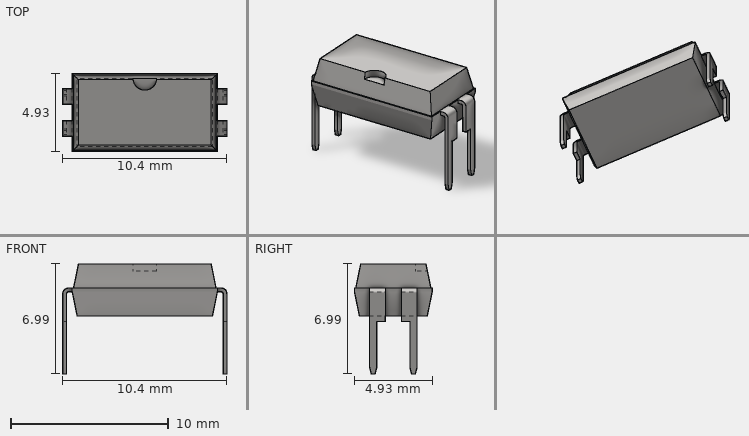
import cadquery as cq

overall_length = 10.41
overall_height = 6.99

body_length = 9.2
body_width = 4.93
body_height = 3.31
band_thickness = 0.25
draft_inset = 0.31
upper_step = 0.08

notch_radius = 0.75
notch_edge_inset = 0.3

lead_thickness = band_thickness
bend_inner_radius = 0.12
lead_outer_y = 1.51
lead_inner_y = 0.51
pin_width = 0.47
tip_width = 0.25
tip_length = 0.43
shoulder_drop = 3.66
lead_embed = 0.21

half_height = (body_height - band_thickness) / 2
band_top = overall_height - half_height
band_bottom = band_top - band_thickness


def tapered_half(base_z, end_z, base_inset):
    """Frustum narrowing by draft_inset from base_z to end_z."""
    end_inset = base_inset + draft_inset
    return (
        cq.Workplane("XY")
        .workplane(offset=base_z)
        .rect(body_length - 2 * base_inset, body_width - 2 * base_inset)
        .workplane(offset=end_z - base_z)
        .rect(body_length - 2 * end_inset, body_width - 2 * end_inset)
        .loft(ruled=True)
    )


def make_body():
    band = (
        cq.Workplane("XY")
        .workplane(offset=band_bottom)
        .rect(body_length, body_width)
        .extrude(band_thickness)
    )
    upper = tapered_half(band_top, overall_height, upper_step)
    lower = tapered_half(band_bottom, overall_height - body_height, 0)
    return band.union(upper).union(lower)


def make_notch():
    """Cylinder whose flat floor meets the sloping wall level with the notch centre."""
    top_inset = upper_step + draft_inset
    depth = (top_inset - notch_edge_inset) * half_height / draft_inset
    return (
        cq.Workplane("XY")
        .workplane(offset=overall_height - depth)
        .center(0, body_width / 2 - notch_edge_inset)
        .circle(notch_radius)
        .extrude(depth)
    )


def make_lead():
    """Lead at the -X end, on the +Y side: bent strip trimmed to its pin outline."""
    outer_x = -overall_length / 2
    inner_x = -body_length / 2 + lead_embed
    strip = (
        cq.Workplane("XZ")
        .moveTo(outer_x, 0)
        .lineTo(outer_x, band_top)
        .lineTo(inner_x, band_top)
        .lineTo(inner_x, band_bottom)
        .lineTo(outer_x + lead_thickness, band_bottom)
        .lineTo(outer_x + lead_thickness, 0)
        .close()
        .extrude(-body_width / 2)
    )
    outer_corner = cq.selectors.NearestToPointSelector((outer_x, body_width / 4, band_top))
    inner_corner = cq.selectors.NearestToPointSelector(
        (outer_x + lead_thickness, body_width / 4, band_bottom)
    )
    strip = strip.edges(outer_corner).fillet(bend_inner_radius + lead_thickness)
    strip = strip.edges(inner_corner).fillet(bend_inner_radius)

    shoulder_z = overall_height - shoulder_drop
    pin_inner_y = lead_outer_y - pin_width
    tip_inset = (pin_width - tip_width) / 2
    outline = (
        cq.Workplane("YZ")
        .workplane(offset=outer_x)
        .polyline([
            (lead_inner_y, band_top),
            (lead_inner_y, shoulder_z),
            (pin_inner_y, shoulder_z),
            (pin_inner_y, tip_length),
            (pin_inner_y + tip_inset, 0),
            (lead_outer_y - tip_inset, 0),
            (lead_outer_y, tip_length),
            (lead_outer_y, band_top),
        ])
        .close()
        .extrude(inner_x - outer_x)
    )
    return strip.intersect(outline)


result = make_body().cut(make_notch())
lead = make_lead()
lead_pair = lead.union(lead.mirror("XZ"))
for leads in (lead_pair, lead_pair.mirror("YZ")):
    result = result.union(leads)